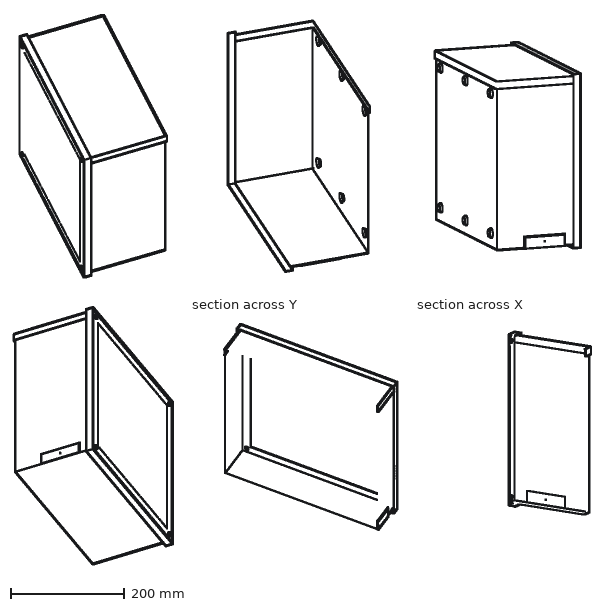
import cadquery as cq
import math


COVER_SIZE = 314.2
TOTAL_DEPTH = 161.8
SHEET = 1.5
COVER_SKIRT = 14.0
EDGE_RADIUS = 1.73

SCREW_INSET = 13.8
SCREW_HOLE_DIAMETER = 7.2

CAP_GAP = 1.5
PAD_HEIGHT = 4.0
CAP_HALF = COVER_SIZE / 2 - SHEET - CAP_GAP
BODY_HALF = CAP_HALF - SHEET
BODY_FRONT = SHEET
BODY_BACK = TOTAL_DEPTH - PAD_HEIGHT
CAP_BACK = BODY_BACK + SHEET
BACK_RADIUS = 3.0
CAP_TOP = 153.3
CAP_SKIRT = 14.8
BODY_BOTTOM = -151.8
BODY_TOP = CAP_TOP - SHEET

OPENING_HALF = COVER_SIZE / 2 - 21.7

PAD_TIP_DIAMETER = 12.5
PAD_BASE_DIAMETER = 17.3
PAD_SPACING = 125.7
PAD_MIDDLE_Z = (CAP_TOP + BODY_BOTTOM) / 2

PLATE_FRONT = 28.3
PLATE_LENGTH = 77.3
PLATE_HEIGHT = 22.0
PLATE_BEVEL = 2.0
PLATE_HOLE_DIAMETER = 0.8


def block(x_range, y_range, z_range):
    """Box spanning the given (low, high) ranges."""
    sizes = [high - low for low, high in (x_range, y_range, z_range)]
    corner = (x_range[0], y_range[0], z_range[0])
    return cq.Workplane("XY").box(*sizes, centered=False).translate(corner)


def both_ways(half):
    """Range reaching the same distance either side of zero."""
    return (-half, half)


def make_cover():
    """Shallow tray, open at the back, with a screw hole in each corner."""
    half = COVER_SIZE / 2
    tray = block(both_ways(half), (0, COVER_SKIRT), both_ways(half))
    tray = tray.edges("|Y").fillet(EDGE_RADIUS).faces("<Y").edges().fillet(EDGE_RADIUS)
    inside = block(both_ways(half - SHEET), (SHEET, COVER_SKIRT), both_ways(half - SHEET))
    screw_pitch = COVER_SIZE - 2 * SCREW_INSET
    screw_holes = (
        cq.Workplane("XZ")
        .rect(screw_pitch, screw_pitch, forConstruction=True)
        .vertices()
        .circle(SCREW_HOLE_DIAMETER / 2)
        .extrude(-SHEET)
    )
    return tray.cut(inside).cut(screw_holes)


def body_envelope():
    """Outside of the body, rounded where the back meets the sides and bottom."""
    envelope = block(both_ways(BODY_HALF), (BODY_FRONT, BODY_BACK), (BODY_BOTTOM, BODY_TOP))
    return envelope.edges("(|Z and >Y) or (|X and >Y and <Z)").fillet(BACK_RADIUS)


def make_pad(x, z):
    """Tapered mounting pad standing on the back of the body."""
    return (
        cq.Workplane("XZ", origin=(x, BODY_BACK, z))
        .circle(PAD_BASE_DIAMETER / 2)
        .workplane(offset=-PAD_HEIGHT)
        .circle(PAD_TIP_DIAMETER / 2)
        .loft()
    )


def make_body():
    """Sheet box, open at the top under the cap, with a flange around its front opening."""
    inner_half = BODY_HALF - SHEET
    inside = block(
        both_ways(inner_half),
        (BODY_FRONT + SHEET, BODY_BACK - SHEET),
        (BODY_BOTTOM + SHEET, BODY_TOP),
    )
    opening = block(both_ways(OPENING_HALF), (BODY_FRONT, BODY_FRONT + SHEET), both_ways(OPENING_HALF))
    body = body_envelope().cut(inside).cut(opening)
    for x in (-PAD_SPACING, 0, PAD_SPACING):
        for z_offset in (-PAD_SPACING, PAD_SPACING):
            body = body.union(make_pad(x, PAD_MIDDLE_Z + z_offset))
    return body


def make_cap():
    """Top panel with skirts over the sides and back of the body."""
    cap = block(both_ways(CAP_HALF), (BODY_FRONT, CAP_BACK), (CAP_TOP - CAP_SKIRT, CAP_TOP))
    cap = cap.edges("|X and >Y and >Z").fillet(BACK_RADIUS)
    cap = cap.faces("<X or >X").edges("not (<Y or <Z)").fillet(EDGE_RADIUS)
    return cap.cut(body_envelope())


def make_side_plate():
    """Plate on the -X side, sloping on three edges and level with the bottom of the body."""
    middle_y = PLATE_FRONT + PLATE_LENGTH / 2
    slope_angle = math.degrees(math.atan2(PLATE_BEVEL, SHEET))
    plate = (
        cq.Workplane("YZ", origin=(-BODY_HALF, middle_y, BODY_BOTTOM))
        .rect(PLATE_LENGTH, 2 * PLATE_HEIGHT)
        .extrude(-SHEET, taper=slope_angle)
    )
    below_body = block(
        (-CAP_HALF, -BODY_HALF),
        (PLATE_FRONT, PLATE_FRONT + PLATE_LENGTH),
        (BODY_BOTTOM - PLATE_HEIGHT, BODY_BOTTOM),
    )
    hole = (
        cq.Workplane("YZ", origin=(-BODY_HALF, middle_y, BODY_BOTTOM + PLATE_HEIGHT / 2))
        .circle(PLATE_HOLE_DIAMETER / 2)
        .extrude(-SHEET)
    )
    return plate.cut(below_body).cut(hole)


cover = make_cover()
body = make_body()
cap = make_cap()
side_plate = make_side_plate()

result = cq.Compound.makeCompound([cover.val(), body.val(), cap.val(), side_plate.val()])